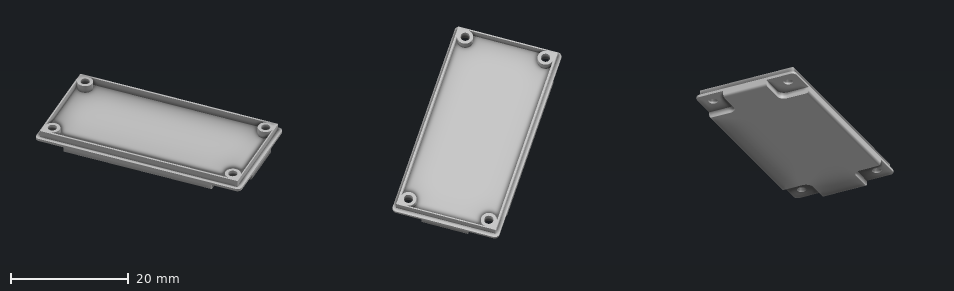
import cadquery as cq
import math

length = 37.98
width = 18.9
height = 2.85
flange_top = 1.6
corner_radius = 0.8
bottom_edge_radius = 0.5

lip_inset_x = 0.72
lip_inset_y = 0.6
tray_inset = 0.95
tray_floor = 1.45

hole_diameter = 1.6
boss_radius = 1.35
boss_inset = tray_inset + boss_radius
boss_x = length / 2 - boss_inset
boss_y = width / 2 - boss_inset
boss_centers = [(sx * boss_x, sy * boss_y) for sx in (-1, 1) for sy in (-1, 1)]

notch_size = 5.35
notch_height = 1.15
notch_radius = 1.33


def make_base():
    base = cq.Workplane("XY").box(length, width, flange_top, centered=(True, True, False))
    return base.edges("|Z").fillet(corner_radius).faces("<Z").edges().fillet(bottom_edge_radius)


def make_lip():
    lip_length = length - 2 * lip_inset_x
    lip_width = width - 2 * lip_inset_y
    lip = cq.Workplane("XY").workplane(offset=flange_top)
    return lip.rect(lip_length, lip_width).extrude(height - flange_top)


def make_tray():
    """Tray void, with its corners left solid around the bosses."""
    depth = height - tray_floor
    floor = cq.Workplane("XY").workplane(offset=tray_floor)
    tray = floor.rect(length - 2 * tray_inset, width - 2 * tray_inset).extrude(depth)
    bosses = floor.pushPoints(boss_centers).circle(boss_radius).extrude(depth)
    corner_centers = [
        (x + math.copysign(boss_radius / 2, x), y + math.copysign(boss_radius / 2, y))
        for x, y in boss_centers
    ]
    corners = floor.pushPoints(corner_centers).rect(boss_radius, boss_radius).extrude(depth)
    return tray.cut(bosses).cut(corners)


def make_notches():
    """Square corner cutters, oversized outward so only the inner corner is rounded."""
    base_corners = [(sx * length / 2, sy * width / 2) for sx in (-1, 1) for sy in (-1, 1)]
    notches = cq.Workplane("XY").pushPoints(base_corners)
    notches = notches.rect(2 * notch_size, 2 * notch_size).extrude(notch_height)
    return notches.edges("|Z").fillet(notch_radius)


def make_holes():
    return cq.Workplane("XY").pushPoints(boss_centers).circle(hole_diameter / 2).extrude(height)


result = make_base().union(make_lip()).cut(make_tray()).cut(make_notches()).cut(make_holes())